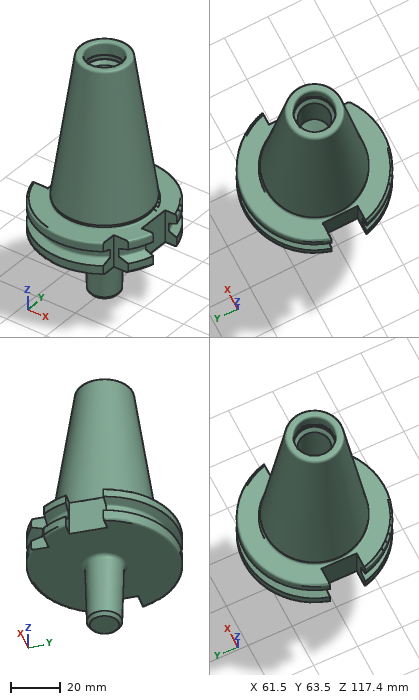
import cadquery as cq
import math

total_height = 117.4
flange_bottom = 29.9
flange_top = 45.8

taper_ratio = 7 / 24
taper_base_radius = 22.2
taper_base_height = 47.9
shank_edge_radius = 1.2
neck_radius = 21.8
neck_fillet_radius = 0.9

flange_radius = 31.77
flange_edge_radius = 0.9
groove_root_radius = 27.9
groove_centre = 38.0
groove_root_width = 3.8
groove_mouth_width = 7.0
groove_fillet_radius = 0.8

spigot_top_radius = 8.0
spigot_tip_radius = 7.3
spigot_chamfer_radius = 6.0
spigot_chamfer_height = 1.6
spigot_fillet_radius = 1.6

bore_radius = 8.6
mouth_edge_radius = 0.9
undercut_radius = 9.0
undercut_start_depth = 6.3
bore_depth = 8.5
thread_radius = 6.9
thread_depth = 30.5
drill_tip_angle = 118.0

slot_width = 16.0
left_slot_floor = 22.8
right_slot_floor = 24.9
notch_offset = 18.5


def arc_mid_offset(radius):
    """Distance, along each axis, from the sides of a quarter round to its middle."""
    return radius * (1 - math.sqrt(0.5))


def make_body():
    """Revolve the spigot, flange and shank in one outline."""
    shank_top_radius = taper_base_radius - (total_height - taper_base_height) * taper_ratio / 2
    spigot_fillet_start = flange_bottom - spigot_fillet_radius
    arc_offset = arc_mid_offset(spigot_fillet_radius)
    flange_arc_offset = arc_mid_offset(flange_edge_radius)
    neck_arc_offset = arc_mid_offset(neck_fillet_radius)
    outline = (
        cq.Workplane("XZ")
        .lineTo(spigot_chamfer_radius, 0)
        .lineTo(spigot_tip_radius, spigot_chamfer_height)
        .lineTo(spigot_top_radius, spigot_fillet_start)
        .threePointArc(
            (spigot_top_radius + arc_offset, flange_bottom - arc_offset),
            (spigot_top_radius + spigot_fillet_radius, flange_bottom),
        )
        .lineTo(flange_radius - flange_edge_radius, flange_bottom)
        .threePointArc(
            (flange_radius - flange_arc_offset, flange_bottom + flange_arc_offset),
            (flange_radius, flange_bottom + flange_edge_radius),
        )
        .lineTo(flange_radius, flange_top - flange_edge_radius)
        .threePointArc(
            (flange_radius - flange_arc_offset, flange_top - flange_arc_offset),
            (flange_radius - flange_edge_radius, flange_top),
        )
        .lineTo(neck_radius + neck_fillet_radius, flange_top)
        .threePointArc(
            (neck_radius + neck_arc_offset, flange_top + neck_arc_offset),
            (neck_radius, flange_top + neck_fillet_radius),
        )
        .lineTo(taper_base_radius, taper_base_height)
        .lineTo(shank_top_radius, total_height)
        .lineTo(0, total_height)
        .close()
    )
    body = outline.revolve(360, (0, 0), (0, 1))
    return body.faces(">Z").edges().fillet(shank_edge_radius)


def make_groove():
    """V groove ring around the flange, with rounded root corners."""
    ring = (
        cq.Workplane("XZ")
        .moveTo(flange_radius, groove_centre - groove_mouth_width / 2)
        .lineTo(groove_root_radius, groove_centre - groove_root_width / 2)
        .lineTo(groove_root_radius, groove_centre + groove_root_width / 2)
        .lineTo(flange_radius, groove_centre + groove_mouth_width / 2)
        .close()
        .revolve(360, (0, 0), (0, 1))
    )
    root_corners = ring.edges("%CIRCLE").edges(cq.selectors.RadiusNthSelector(0))
    return root_corners.fillet(groove_fillet_radius)


def make_bore():
    """Rounded mouth, undercut clearance bore, conical step, core hole and drill point."""
    mouth_arc_offset = arc_mid_offset(mouth_edge_radius)
    step_depth = bore_depth + bore_radius - thread_radius
    tip_height = thread_radius / math.tan(math.radians(drill_tip_angle / 2))
    outline = (
        cq.Workplane("XZ")
        .moveTo(0, total_height)
        .lineTo(bore_radius + mouth_edge_radius, total_height)
        .threePointArc(
            (bore_radius + mouth_arc_offset, total_height - mouth_arc_offset),
            (bore_radius, total_height - mouth_edge_radius),
        )
        .lineTo(bore_radius, total_height - undercut_start_depth)
        .lineTo(undercut_radius, total_height - undercut_start_depth)
        .lineTo(undercut_radius, total_height - bore_depth)
        .lineTo(bore_radius, total_height - bore_depth)
        .lineTo(thread_radius, total_height - step_depth)
        .lineTo(thread_radius, total_height - thread_depth)
        .lineTo(0, total_height - thread_depth - tip_height)
        .close()
    )
    return outline.revolve(360, (0, 0), (0, 1))


def flange_cut(x_start, x_end, y_start, y_end):
    """Box through the full flange thickness between the given limits."""
    return (
        cq.Workplane("XY", origin=(x_start, y_start, flange_bottom))
        .box(x_end - x_start, y_end - y_start, flange_top - flange_bottom, centered=False)
    )


left_slot = flange_cut(-flange_radius, -left_slot_floor, -slot_width / 2, slot_width / 2)
right_slot = flange_cut(right_slot_floor, flange_radius, -slot_width / 2, slot_width / 2)
notch = flange_cut(notch_offset, flange_radius, -flange_radius, -notch_offset)

body = make_body().cut(make_groove()).cut(make_bore())
result = body.cut(left_slot).cut(right_slot).cut(notch)